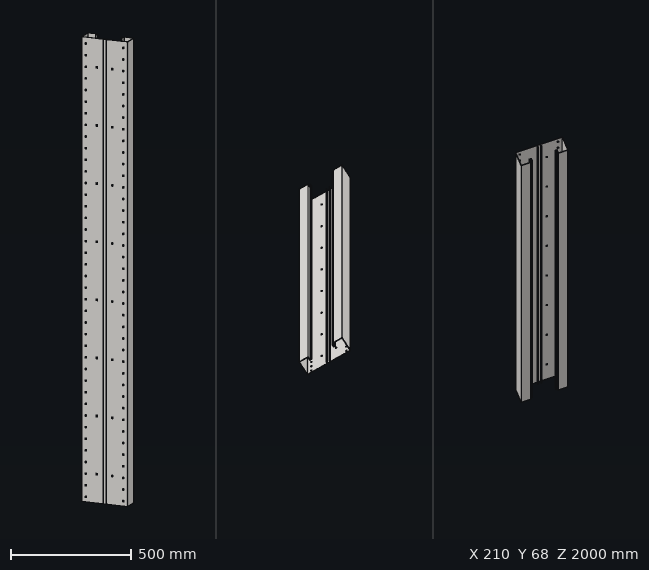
import cadquery as cq

WIDTH = 210.0
DEPTH = 68.0
LENGTH = 2000.0
WALL = 2.0
CORNER_RADIUS = 2.0

LIP_OPENING = 104.5
LIP_WIDTH = 10.0
LIP_DEPTH = 18.0
LIP_SETBACK = 6.0

RAIL_WIDTH = 18.0
RAIL_HEIGHT = 11.0
RAIL_GAP = 12.0
RAIL_HEAD = 4.0

HOLE_DIAMETER = 6.5
EDGE_HOLE_X = 85.0
EDGE_HOLE_PITCH = 50.0
EDGE_HOLE_COUNT = 40
EDGE_HOLE_TOP = 28.0
INNER_HOLE_X = 35.0
INNER_HOLE_PITCH = 250.0
INNER_HOLE_COUNT = 8
INNER_HOLE_TOP = INNER_HOLE_PITCH / 2

REAR = -DEPTH / 2
FRONT = DEPTH / 2
BOTTOM = 0.0
TOP = BOTTOM + LENGTH


def bar(x_min, x_max, y_min, y_max):
    """A full-length rectangular strip."""
    corner = cq.Workplane("XY", origin=(x_min, y_min, BOTTOM))
    return corner.rect(x_max - x_min, y_max - y_min, centered=False).extrude(LENGTH)


def channel():
    """The closed rectangular tube with rounded outer edges, opened at the front between the lips."""
    outer = bar(-WIDTH / 2, WIDTH / 2, REAR, FRONT).edges("|Z").fillet(CORNER_RADIUS)
    cavity = bar(-WIDTH / 2 + WALL, WIDTH / 2 - WALL, REAR + WALL, FRONT - WALL)
    flange_end = LIP_OPENING / 2 + LIP_WIDTH - WALL
    opening = bar(-flange_end, flange_end, FRONT - WALL, FRONT)
    return outer.cut(cavity).cut(opening)


def right_lip():
    """J-shaped lip on the +X side: inwards from the flange, across, and back towards the front."""
    inner = LIP_OPENING / 2
    outer = inner + LIP_WIDTH
    under = FRONT - LIP_DEPTH
    wall = bar(outer - WALL, outer, under, FRONT)
    floor = bar(inner, outer, under, under + WALL)
    hook = bar(inner, inner + WALL, under, FRONT - LIP_SETBACK)
    return wall.union(floor).union(hook)


def right_rail():
    """Leg of the divider rail on the +X side."""
    inner = RAIL_GAP / 2
    outer = RAIL_WIDTH / 2
    top = REAR + RAIL_HEIGHT
    leg = bar(inner, inner + WALL, REAR, top)
    head = bar(inner, outer, top - RAIL_HEAD, top)
    return leg.union(head)


def hole_column(x, top_offset, pitch, count):
    """Cutters for one column of holes through the back wall, starting below the top end."""
    centres = [(x, TOP - top_offset - pitch * i) for i in range(count)]
    inner_face = cq.Workplane("XZ", origin=(0, REAR + WALL, 0))
    return inner_face.pushPoints(centres).circle(HOLE_DIAMETER / 2).extrude(WALL)


result = channel()
for feature in (right_lip(), right_rail()):
    result = result.union(feature).union(feature.mirror("YZ"))
result = result.clean()
for side in (-1, 1):
    result = result.cut(hole_column(side * EDGE_HOLE_X, EDGE_HOLE_TOP, EDGE_HOLE_PITCH, EDGE_HOLE_COUNT))
    result = result.cut(hole_column(side * INNER_HOLE_X, INNER_HOLE_TOP, INNER_HOLE_PITCH, INNER_HOLE_COUNT))